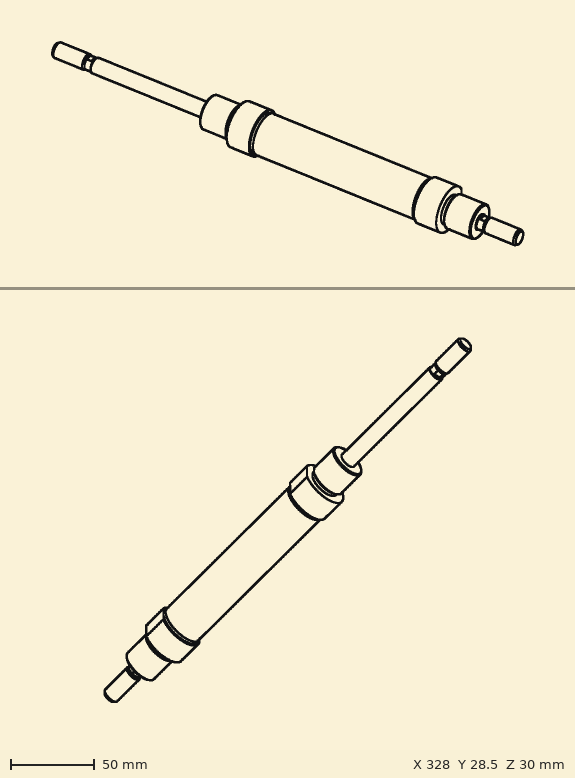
import cadquery as cq


tube_length = 112.8
tube_radius = 13.5

shoulder_length = 2.0
flange_length = 15.7
neck_length = 2.5
nose_length = 19.0
flange_diameter = 30.0
flange_radius = flange_diameter / 2
neck_radius = 9.5
nose_radius = 11.0
nose_chamfer = 0.5
head_width = 28.5
flat_offset = head_width - flange_radius

rod_length = 328.0
rod_diameter = 10.2
rod_radius = rod_diameter / 2
right_reach = 28.0
tip_length = 21.5
tip_taper = 1.3
tip_radius = 4.3
groove_width = 6.0
groove_radius = 4.5
wrench_width = 8.2
wrench_length = 3.5
groove_slope = 1.3

tube_end = tube_length / 2
head_length = shoulder_length + flange_length + neck_length + nose_length
rod_right = tube_end + head_length + right_reach
rod_left = rod_right - rod_length


def turn(outline):
    """Turn an (x, radius) outline that stands on the X axis into a solid."""
    return cq.Workplane("XY").polyline(outline).close().revolve(360, (0, 0, 0), (1, 0, 0))


def rod_bore(body):
    """Cut the hole that the rod fills, along the whole body."""
    bore = cq.Workplane("YZ").circle(rod_radius).extrude(rod_length, both=True)
    return body.cut(bore)


def make_tube():
    body = cq.Workplane("YZ", origin=(-tube_end, 0, 0)).circle(tube_radius).extrude(tube_length)
    return rod_bore(body)


def make_head():
    """Head on the +X end of the tube."""
    flange_start = tube_end + shoulder_length
    neck_start = flange_start + flange_length
    nose_start = neck_start + neck_length
    nose_end = nose_start + nose_length
    body = turn([
        (tube_end, 0),
        (tube_end, tube_radius),
        (flange_start, tube_radius),
        (flange_start, flange_radius),
        (neck_start, flange_radius),
        (neck_start, neck_radius),
        (nose_start, neck_radius),
        (nose_start, nose_radius - nose_chamfer),
        (nose_start + nose_chamfer, nose_radius),
        (nose_end - nose_chamfer, nose_radius),
        (nose_end, nose_radius - nose_chamfer),
        (nose_end, 0),
    ])
    beyond_flat = (
        cq.Workplane("XY")
        .box(head_length, flange_radius, 2 * flange_radius, centered=(False, False, True))
        .translate((tube_end, flat_offset, 0))
    )
    return rod_bore(body.cut(beyond_flat))


def cut_groove(body, tip_side, away):
    """Cut a cone at tip_side, then a straight neck with wrench flats; away is +1 or -1 along X."""
    slope_end = tip_side + away * groove_slope
    flat_middle = slope_end + away * wrench_length / 2
    far_side = tip_side + away * groove_width
    ring = turn([
        (tip_side, rod_radius),
        (slope_end, groove_radius),
        (far_side, groove_radius),
        (far_side, rod_radius),
    ])
    body = body.cut(ring)
    for side in (1, -1):
        beyond_flat = (
            cq.Workplane("XY")
            .box(wrench_length, 2 * rod_radius, rod_radius)
            .translate((flat_middle, 0, side * (wrench_width + rod_radius) / 2))
        )
        body = body.cut(beyond_flat)
    return body


def make_rod():
    body = turn([
        (rod_left, 0),
        (rod_left, tip_radius),
        (rod_left + tip_taper, rod_radius),
        (rod_right - tip_taper, rod_radius),
        (rod_right, tip_radius),
        (rod_right, 0),
    ])
    body = cut_groove(body, rod_left + tip_length, 1)
    return cut_groove(body, rod_right - tip_length, -1)


tube = make_tube()
right_head = make_head()
left_head = right_head.mirror("YZ")
rod = make_rod()

result = cq.Compound.makeCompound([tube.val(), left_head.val(), right_head.val(), rod.val()])